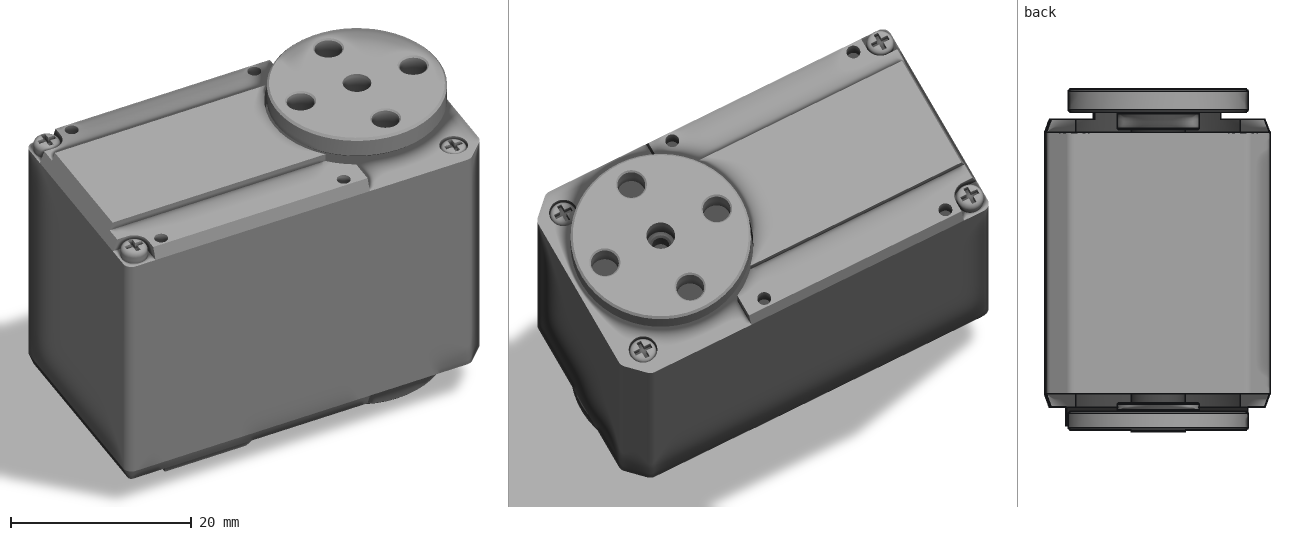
import cadquery as cq


CASE_WIDTH = 24.73
CASE_BACK_Y = 10.3
CASE_LENGTH = 45.25
CASE_HEIGHT = 28.95
CASE_TURN = 0.37
BACK_CHAMFER = 2.5
BACK_ROUND_RADIUS = 1.1
FRONT_ROUND_RADIUS = 1.0

COVER_THICKNESS = 1.45
TOP_COVER_DRAFT = 21
BOTTOM_COVER_DRAFT = 20
COVER_BACK_Y = -4.75
HORN_CLEARANCE_RADIUS = 10.25
RIDGE_WIDTH = 13.95
RIDGE_RISE = 0.95

PIN_HOLE_RADIUS = 0.75
PIN_HOLE_DEPTH = 2.0
PIN_HOLE_X = 10.8
PIN_HOLE_YS = (-7.2, -29.95)
FRONT_SCREW_X = 10.53
FRONT_SCREW_Y = -33.15
FRONT_NOTCH_RADIUS = 1.72
BACK_SCREW_X = 9.35
BACK_SCREW_Y = 7.2
BACK_RECESS_RADIUS = 1.6
SCREW_HEAD_RADIUS = 1.5
SCREW_HEAD_HEIGHT = COVER_THICKNESS
SCREW_HEAD_ROUND = 0.65
CROSS_LENGTH = 2.1
CROSS_WIDTH = 0.55
CROSS_DEPTH = 0.8

CONNECTOR_WIDTH = 20.05
CONNECTOR_HEIGHT = 2.1
CONNECTOR_FRONT_Y = -29.1
CONNECTOR_FLAT_BACK_Y = -18.9
CONNECTOR_BACK_Y = -16.1

SHAFT_RADIUS = 3.0
TOP_SHAFT_RISE = 0.25
BOTTOM_SHAFT_DROP = 0.95
HORN_RADIUS = 10.0
HORN_EDGE_CHAMFER = 0.25
HUB_RADIUS = 4.55
HUB_EDGE_CHAMFER = 0.2
TOP_HUB_HEIGHT = 1.95
TOP_DISC_THICKNESS = 2.6
BOTTOM_HUB_HEIGHT = 0.95
BOTTOM_DISC_THICKNESS = 2.1
BOTTOM_CAP_HEIGHT = 0.2
HORN_HOLE_RADIUS = 1.55
HORN_HOLE_CHAMFER = 0.2
HORN_HOLE_CIRCLE_RADIUS = 7.0
HORN_HOLE_COUNT = 4
CENTRE_BORE_RADIUS = 1.6
CENTRE_BORE_DEPTH = TOP_DISC_THICKNESS
CENTRE_HOLE_RADIUS = 0.95
CENTRE_HOLE_CHAMFER = 0.23

CASE_FRONT_Y = CASE_BACK_Y - CASE_LENGTH
CASE_MID_Y = CASE_BACK_Y - CASE_LENGTH / 2
COVER_LENGTH = COVER_BACK_Y - CASE_FRONT_Y


def disc(radius, height, base_z):
    return cq.Workplane("XY").workplane(offset=base_z).circle(radius).extrude(height)


def case_block():
    block = cq.Workplane("XY").center(0, CASE_MID_Y).rect(CASE_WIDTH, CASE_LENGTH).extrude(CASE_HEIGHT)
    block = block.edges("|Z and >Y").chamfer(BACK_CHAMFER)
    behind_covers = cq.selectors.BoxSelector(
        (-CASE_WIDTH, COVER_BACK_Y, 0), (CASE_WIDTH, CASE_LENGTH, CASE_HEIGHT)
    )
    block = block.edges("|Z").edges(behind_covers).fillet(BACK_ROUND_RADIUS)
    return block.edges("|Z and <Y").fillet(FRONT_ROUND_RADIUS)


def tapered_cover(height, draft):
    """Footprint of the case drafted upwards from Z = 0, cut back behind the covers and around the horn."""
    cover = (
        cq.Workplane("XY")
        .center(0, CASE_MID_Y)
        .sketch()
        .rect(CASE_WIDTH, CASE_LENGTH)
        .vertices("<Y")
        .fillet(FRONT_ROUND_RADIUS)
        .finalize()
        .extrude(height, taper=draft)
    )
    keep = (
        cq.Workplane("XY")
        .center(0, COVER_BACK_Y - COVER_LENGTH / 2)
        .rect(CASE_WIDTH, COVER_LENGTH)
        .extrude(height)
    )
    return cover.intersect(keep).cut(disc(HORN_CLEARANCE_RADIUS, height, 0))


def top_cover():
    full = tapered_cover(COVER_THICKNESS + RIDGE_RISE, TOP_COVER_DRAFT)
    ridge_span = cq.Workplane("XY").rect(RIDGE_WIDTH, 2 * CASE_LENGTH).extrude(COVER_THICKNESS + RIDGE_RISE)
    cover = tapered_cover(COVER_THICKNESS, TOP_COVER_DRAFT).union(full.intersect(ridge_span))
    for side in (-1, 1):
        cover = cover.cut(front_notch(side))
    return cover.translate((0, 0, CASE_HEIGHT))


def front_notch(side):
    """Corner notch around a front screw, its inner corner round about the screw axis."""
    inner_x = FRONT_SCREW_X - FRONT_NOTCH_RADIUS
    inner_y = FRONT_SCREW_Y + FRONT_NOTCH_RADIUS
    outer_x = CASE_WIDTH / 2
    notch = (
        cq.Workplane("XY")
        .moveTo(outer_x, inner_y)
        .lineTo(FRONT_SCREW_X, inner_y)
        .radiusArc((inner_x, FRONT_SCREW_Y), -FRONT_NOTCH_RADIUS)
        .lineTo(inner_x, CASE_FRONT_Y)
        .lineTo(outer_x, CASE_FRONT_Y)
        .close()
        .extrude(COVER_THICKNESS)
    )
    return notch if side > 0 else notch.mirror("YZ")


def screw_head(x, y, base_z):
    head = disc(SCREW_HEAD_RADIUS, SCREW_HEAD_HEIGHT, 0).faces(">Z").edges().fillet(SCREW_HEAD_ROUND)
    slot_base = SCREW_HEAD_HEIGHT - CROSS_DEPTH
    for length_x, length_y in ((CROSS_LENGTH, CROSS_WIDTH), (CROSS_WIDTH, CROSS_LENGTH)):
        slot = cq.Workplane("XY").workplane(offset=slot_base).rect(length_x, length_y).extrude(CROSS_DEPTH)
        head = head.cut(slot)
    return head.translate((x, y, base_z))


def connector():
    bottom_z = -COVER_THICKNESS - CONNECTOR_HEIGHT
    return (
        cq.Workplane("YZ")
        .polyline(
            [
                (CONNECTOR_FRONT_Y, -COVER_THICKNESS),
                (CONNECTOR_FRONT_Y, bottom_z),
                (CONNECTOR_FLAT_BACK_Y, bottom_z),
                (CONNECTOR_BACK_Y, -COVER_THICKNESS),
            ]
        )
        .close()
        .extrude(CONNECTOR_WIDTH / 2, both=True)
    )


def make_case():
    bottom_cover = tapered_cover(COVER_THICKNESS, BOTTOM_COVER_DRAFT).mirror("XY")
    case = case_block().union(top_cover()).union(bottom_cover).union(connector())
    pin_top = CASE_HEIGHT + COVER_THICKNESS
    recess_floor = CASE_HEIGHT - SCREW_HEAD_HEIGHT
    for side in (-1, 1):
        for y in PIN_HOLE_YS:
            hole = disc(PIN_HOLE_RADIUS, PIN_HOLE_DEPTH, pin_top - PIN_HOLE_DEPTH)
            case = case.cut(hole.translate((side * PIN_HOLE_X, y, 0)))
        recess = disc(BACK_RECESS_RADIUS, SCREW_HEAD_HEIGHT, recess_floor)
        case = case.cut(recess.translate((side * BACK_SCREW_X, BACK_SCREW_Y, 0)))
        case = case.union(screw_head(side * BACK_SCREW_X, BACK_SCREW_Y, recess_floor))
        case = case.union(screw_head(side * FRONT_SCREW_X, FRONT_SCREW_Y, CASE_HEIGHT))
    case = case.union(disc(SHAFT_RADIUS, TOP_SHAFT_RISE, CASE_HEIGHT))
    case = case.union(disc(SHAFT_RADIUS, BOTTOM_SHAFT_DROP, -BOTTOM_SHAFT_DROP))
    return case.rotate((0, 0, 0), (0, 0, 1), CASE_TURN)


def horn_disc(thickness, base_z):
    return disc(HORN_RADIUS, thickness, base_z).edges().chamfer(HORN_EDGE_CHAMFER)


def horn_hub(height, base_z):
    return disc(HUB_RADIUS, height, base_z).edges().chamfer(HUB_EDGE_CHAMFER)


def chamfered_hole(radius, depth, chamfer, top_z):
    """Cutter for a round hole going down from top_z, widened by a 45 degree chamfer at the mouth."""
    half_section = (
        cq.Workplane("XZ")
        .polyline(
            [
                (0, top_z),
                (radius + chamfer, top_z),
                (radius, top_z - chamfer),
                (radius, top_z - depth),
                (0, top_z - depth),
            ]
        )
        .close()
    )
    return half_section.revolve(360, (0, 0, 0), (0, 1, 0))


def make_top_horn():
    hub_z = CASE_HEIGHT + TOP_SHAFT_RISE
    disc_z = hub_z + TOP_HUB_HEIGHT
    top_z = disc_z + TOP_DISC_THICKNESS
    horn = horn_disc(TOP_DISC_THICKNESS, disc_z).union(horn_hub(TOP_HUB_HEIGHT, hub_z))
    mounting_hole = chamfered_hole(HORN_HOLE_RADIUS, TOP_DISC_THICKNESS, HORN_HOLE_CHAMFER, top_z)
    mounting_hole = mounting_hole.translate((HORN_HOLE_CIRCLE_RADIUS, 0, 0))
    for number in range(HORN_HOLE_COUNT):
        turn = 360 * number / HORN_HOLE_COUNT
        horn = horn.cut(mounting_hole.rotate((0, 0, 0), (0, 0, 1), turn))
    horn = horn.cut(disc(CENTRE_BORE_RADIUS, CENTRE_BORE_DEPTH, disc_z))
    return horn.cut(chamfered_hole(CENTRE_HOLE_RADIUS, TOP_HUB_HEIGHT, CENTRE_HOLE_CHAMFER, disc_z))


def make_bottom_horn():
    hub_z = -BOTTOM_SHAFT_DROP - BOTTOM_HUB_HEIGHT
    disc_z = hub_z - BOTTOM_DISC_THICKNESS
    horn = horn_disc(BOTTOM_DISC_THICKNESS, disc_z)
    horn = horn.union(horn_hub(BOTTOM_HUB_HEIGHT, hub_z))
    return horn.union(disc(SHAFT_RADIUS, BOTTOM_CAP_HEIGHT, disc_z - BOTTOM_CAP_HEIGHT))


case = make_case()
top_horn = make_top_horn()
bottom_horn = make_bottom_horn()

result = cq.Compound.makeCompound([case.val(), top_horn.val(), bottom_horn.val()])